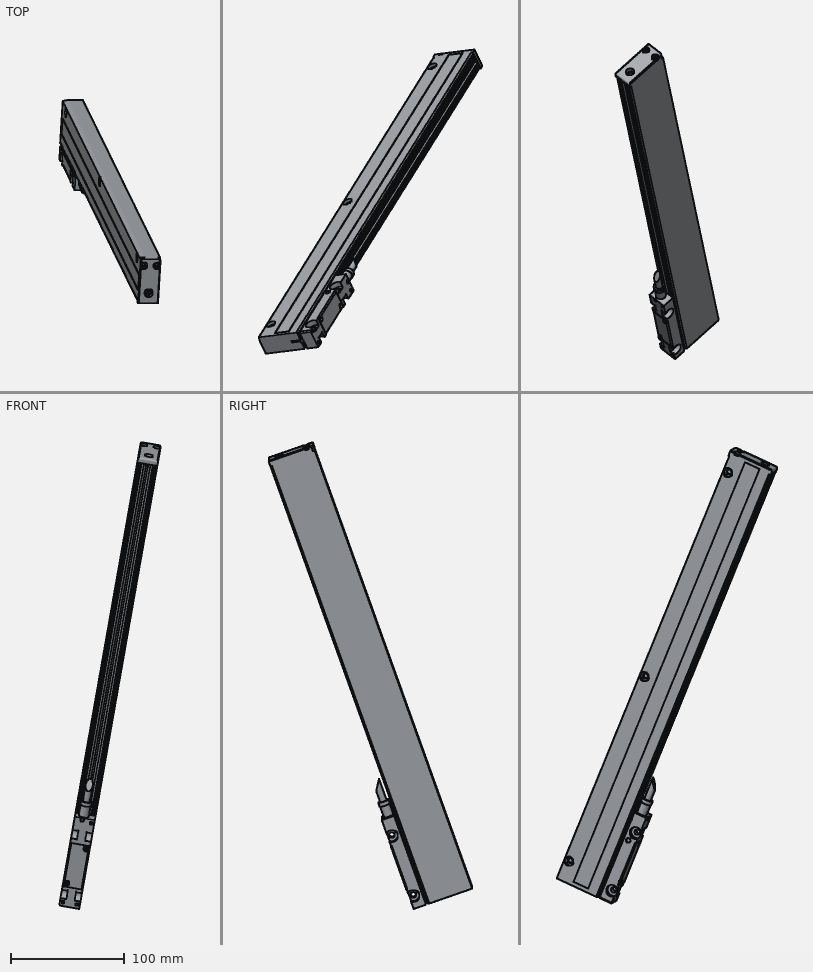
import cadquery as cq

TILT_ABOUT_X = 19.5
TILT_ABOUT_Y = 10

HALF_THICK = 9.0
BACK_Y = 21.5
FRONT_Y = -20.0
HOUSING_BOTTOM_Z = -207.0
HOUSING_TOP_Z = 212.0
EDGE_CHAMFER = 1.5
CAP_CORNER_CHAMFER = 1.5
CAP_LENGTH = 5.0
CAP_RADIUS = 1.5
CAP_CHAMFER = 1.0
BACK_BEVEL_WIDTH = 4.5
BACK_BEVEL_DROP = 1.0

LIP_HALF_WIDTH = 5.0
LIP_LEDGE_HALF_WIDTH = 3.0
LIP_LEDGE_DEPTH = 1.0
LIP_DEPTH = 2.0
SLOT_HALF_WIDTH = 1.0
SLOT_DEPTH = 10.2
SEAL_GROOVE_X = 6.5
SEAL_GROOVE_WIDTH = 1.2
SEAL_GROOVE_DEPTH = 1.0

LABEL_Y = (-9.0, 5.5)
LABEL_Z = (-203.3, 207.8)
LABEL_DEPTH = 0.5

MOUNT_Y = 16.0
MOUNT_Z = (-188.0, -7.5, 192.5)
MOUNT_DIA = 8
MOUNT_DEPTH = 3.3
MOUNT_CORE_DIA = 4.5
MOUNT_CORE_DEPTH = 6.5

END_SCREW_X = 5.7
END_SCREW_Y = 15.0
END_SCREW_DIA = 6.0
END_SCREW_CORE_DIA = 3.25
END_SCREW_DEPTH = 2.0
PORT_Y = -10.2
PORT_DIA = 7.5
PORT_DEPTH = 5.0
PORT_CORE_DIA = 5.0

HEAD_HALF_THICK = 9.0
HEAD_BACK_Y = -21.7
HEAD_FRONT_Y = -33.0
HEAD_TOP_Z = -123
PAD_RAISE = 0.5
PAD_CHAMFER = 1.2
PAD_Z = (-188.5, -147.5)
HEAD_EDGE_CHAMFER = 1.2
HEAD_HOLE_Y = -29.5
HEAD_HOLE_Z = (-196.0, -139.5)
HEAD_HOLE_DIA = 5.0
HEAD_BORE_DIA = 10.5
WEB_HALF_WIDTH = 3.5
SIDE_HOLE_Y = -26.0
SIDE_HOLE_Z = -148.5
SIDE_HOLE_DIA = 4
SIDE_HOLE_DEPTH = 2.0
PAD_SCREW_X = 5.7
PAD_SCREW_INSET = 3.3
PAD_SCREW_DIA = 4.5
PAD_SCREW_DEPTH = 2.0
PAD_SCREW_CORE_DIA = 2.5
PAD_SCREW_CORE_DEPTH = 4
PIN_DIA = 2.5
PIN_X = 6.0
PIN_END_DISTANCE = 3.5
PIN_DEPTH = 2.0
NOTCH_X = -2.0
NOTCH_END_DISTANCE = 2.0
NOTCH_DIA = 3.25
NOTCH_DEPTH = 2.0
CARRIER_HALF_THICK = 4
CARRIER_Z = (-201, -131)

CABLE_X = -1.2
CABLE_Y = -26.5
SLEEVE_DIA = 9.0
SLEEVE_LENGTH = 10.2
RING_DIA = 10.0
RING_LENGTH = 3.5
CABLE_DIA = 6.0
CABLE_TIP_Z = -89.0
CABLE_CUT_LENGTH = 10.0


def box(x_span, y_span, z_span):
    size = [high - low for low, high in (x_span, y_span, z_span)]
    return cq.Workplane("XY").box(*size, centered=False).translate((x_span[0], y_span[0], z_span[0]))


def cylinder_x(start_x, y, z, dia, length):
    return cq.Workplane("YZ", origin=(start_x, y, z)).circle(dia / 2).extrude(length)


def cylinder_z(x, y, start_z, dia, length):
    return cq.Workplane("XY", origin=(x, y, start_z)).circle(dia / 2).extrude(length)


def cylinder_y(x, front_y, z, dia, length):
    return cq.Workplane("XZ", origin=(x, front_y, z)).circle(dia / 2).extrude(-length)


def make_profile_bar():
    shoulder_x = HALF_THICK - EDGE_CHAMFER
    slot_side = [
        (HALF_THICK, FRONT_Y + EDGE_CHAMFER),
        (shoulder_x, FRONT_Y),
        (LIP_HALF_WIDTH, FRONT_Y),
        (LIP_HALF_WIDTH, FRONT_Y + LIP_LEDGE_DEPTH),
        (LIP_LEDGE_HALF_WIDTH, FRONT_Y + LIP_LEDGE_DEPTH),
        (SLOT_HALF_WIDTH, FRONT_Y + LIP_DEPTH),
        (SLOT_HALF_WIDTH, FRONT_Y + SLOT_DEPTH),
    ]
    mirrored_side = [(-x, y) for x, y in reversed(slot_side)]
    back = [
        (-HALF_THICK, BACK_Y - BACK_BEVEL_DROP),
        (BACK_BEVEL_WIDTH - HALF_THICK, BACK_Y),
        (HALF_THICK, BACK_Y),
    ]
    outline = back + slot_side + mirrored_side
    length = HOUSING_TOP_Z - CAP_LENGTH - HOUSING_BOTTOM_Z
    bar = cq.Workplane("XY").polyline(outline).close().extrude(length)
    bar = bar.translate((0, 0, HOUSING_BOTTOM_Z))
    for side in (-1, 1):
        middle = side * SEAL_GROOVE_X
        groove = box(
            (middle - SEAL_GROOVE_WIDTH / 2, middle + SEAL_GROOVE_WIDTH / 2),
            (FRONT_Y, FRONT_Y + SEAL_GROOVE_DEPTH),
            (HOUSING_BOTTOM_Z, HOUSING_TOP_Z),
        )
        bar = bar.cut(groove)
    return bar


def make_end_cap():
    cap = box(
        (-HALF_THICK, HALF_THICK),
        (FRONT_Y, BACK_Y),
        (HOUSING_TOP_Z - CAP_LENGTH, HOUSING_TOP_Z),
    )
    cap = cap.edges(">X and >Y").chamfer(CAP_CORNER_CHAMFER)
    cap = cap.edges(">Z and (<X or >X)").chamfer(CAP_CHAMFER)
    return cap.edges(">Z and <Y").fillet(CAP_RADIUS)


def cut_housing_holes(housing):
    for z in MOUNT_Z:
        housing = housing.cut(cylinder_x(-HALF_THICK, MOUNT_Y, z, MOUNT_DIA, MOUNT_DEPTH))
        housing = housing.cut(cylinder_x(-HALF_THICK, MOUNT_Y, z, MOUNT_CORE_DIA, MOUNT_CORE_DEPTH))
    for x in (-END_SCREW_X, END_SCREW_X):
        start_z = HOUSING_TOP_Z - END_SCREW_DEPTH
        screw_seat = cylinder_z(x, END_SCREW_Y, start_z, END_SCREW_DIA, END_SCREW_DEPTH)
        core = cylinder_z(x, END_SCREW_Y, start_z - END_SCREW_DEPTH, END_SCREW_CORE_DIA, END_SCREW_DEPTH)
        housing = housing.cut(screw_seat).cut(core)
    port_z = HOUSING_TOP_Z - PORT_DEPTH
    housing = housing.cut(cylinder_z(0, PORT_Y, port_z, PORT_DIA, PORT_DEPTH))
    return housing.cut(cylinder_z(0, PORT_Y, port_z - PORT_DEPTH, PORT_CORE_DIA, PORT_DEPTH))


def make_housing():
    housing = make_profile_bar().union(make_end_cap())
    label = box((-HALF_THICK, -HALF_THICK + LABEL_DEPTH), LABEL_Y, LABEL_Z)
    return cut_housing_holes(housing.cut(label))


def make_pad_bevel(edge_x, side, front_y):
    """Triangular bar that bevels one long edge of the pad."""
    corners = [
        (edge_x, front_y),
        (edge_x, front_y + PAD_CHAMFER),
        (edge_x - side * PAD_CHAMFER, front_y),
    ]
    low_z, high_z = PAD_Z
    bar = cq.Workplane("XY", origin=(0, 0, low_z)).polyline(corners).close()
    return bar.extrude(high_z - low_z)


def make_head():
    thick_span = (-HEAD_HALF_THICK, HEAD_HALF_THICK)
    pad_front_y = HEAD_FRONT_Y - PAD_RAISE
    head = box(thick_span, (HEAD_FRONT_Y, HEAD_BACK_Y), (HOUSING_BOTTOM_Z, HEAD_TOP_Z))
    head = head.edges("<Z and <X").chamfer(HEAD_EDGE_CHAMFER)
    pad = box(thick_span, (pad_front_y, HEAD_BACK_Y), PAD_Z)
    head = head.union(pad)
    for side in (-1, 1):
        head = head.cut(make_pad_bevel(side * HEAD_HALF_THICK, side, pad_front_y))

    bore_depth = HEAD_HALF_THICK - WEB_HALF_WIDTH
    for z in HEAD_HOLE_Z:
        head = head.cut(cylinder_x(-HEAD_HALF_THICK, HEAD_HOLE_Y, z, HEAD_HOLE_DIA, 2 * HEAD_HALF_THICK))
        for start_x in (-HEAD_HALF_THICK, WEB_HALF_WIDTH):
            head = head.cut(cylinder_x(start_x, HEAD_HOLE_Y, z, HEAD_BORE_DIA, bore_depth))

    head = head.cut(cylinder_x(-HEAD_HALF_THICK, SIDE_HOLE_Y, SIDE_HOLE_Z, SIDE_HOLE_DIA, SIDE_HOLE_DEPTH))

    pad_screws = (
        (-PAD_SCREW_X, PAD_Z[0] + PAD_SCREW_INSET),
        (PAD_SCREW_X, PAD_Z[1] - PAD_SCREW_INSET),
    )
    for x, z in pad_screws:
        head = head.cut(cylinder_y(x, pad_front_y, z, PAD_SCREW_DIA, PAD_SCREW_DEPTH))
        head = head.cut(cylinder_y(x, pad_front_y, z, PAD_SCREW_CORE_DIA, PAD_SCREW_CORE_DEPTH))

    low_pin_z = HOUSING_BOTTOM_Z + PIN_END_DISTANCE
    pins = ((-PIN_X, low_pin_z), (PIN_X, low_pin_z), (PIN_X, HEAD_TOP_Z - PIN_END_DISTANCE))
    for x, z in pins:
        head = head.cut(cylinder_y(x, HEAD_FRONT_Y, z, PIN_DIA, PIN_DEPTH))
    notch_z = HEAD_TOP_Z - NOTCH_END_DISTANCE
    head = head.cut(cylinder_y(NOTCH_X, HEAD_FRONT_Y, notch_z, NOTCH_DIA, NOTCH_DEPTH))

    carrier_y = (HEAD_BACK_Y, FRONT_Y + LIP_DEPTH)
    return head.union(box((-CARRIER_HALF_THICK, CARRIER_HALF_THICK), carrier_y, CARRIER_Z))


def make_cable():
    ring_z = HEAD_TOP_Z + SLEEVE_LENGTH
    cable_z = ring_z + RING_LENGTH
    sleeve = cylinder_z(CABLE_X, CABLE_Y, HEAD_TOP_Z, SLEEVE_DIA, SLEEVE_LENGTH)
    ring = cylinder_z(CABLE_X, CABLE_Y, ring_z, RING_DIA, RING_LENGTH)
    cable = cylinder_z(CABLE_X, CABLE_Y, cable_z, CABLE_DIA, CABLE_TIP_Z - cable_z)
    front_y = CABLE_Y - CABLE_DIA / 2
    oblique_end = (
        cq.Workplane("YZ", origin=(CABLE_X, 0, 0))
        .moveTo(front_y, CABLE_TIP_Z - CABLE_CUT_LENGTH)
        .lineTo(front_y + CABLE_DIA, CABLE_TIP_Z)
        .lineTo(front_y, CABLE_TIP_Z)
        .close()
        .extrude(CABLE_DIA, both=True)
    )
    return sleeve.union(ring).union(cable.cut(oblique_end))


encoder = make_housing().union(make_head()).union(make_cable())
origin = (0, 0, 0)
result = encoder.rotate(origin, (1, 0, 0), TILT_ABOUT_X).rotate(origin, (0, 1, 0), TILT_ABOUT_Y)